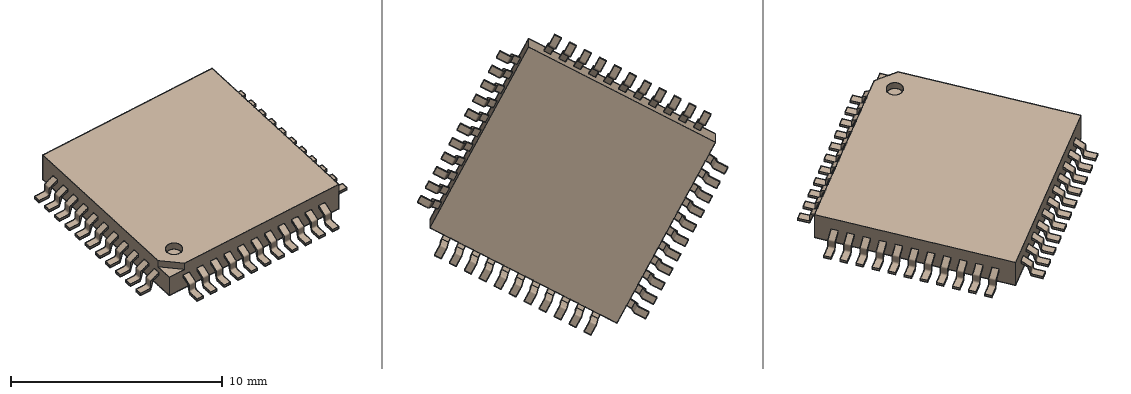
import cadquery as cq

body_side = 10.0
body_height = 1.6

overall_span = 12.2
leads_per_side = 11
row_length = 8.0
lead_width = 0.37
sides = 4

root_top = 0.88
root_bottom = 0.72
shin_reach = 5.5
outer_knee_height = 0.6
inner_knee_reach = 5.34
inner_knee_height = 0.56
foot_thickness = 0.15
bend_radius = 0.1

mark_depth = 0.4
corner_cut = 0.9
dimple_diameter = 0.8
dimple_inset = 1.1

body_edge = body_side / 2
lead_tip = overall_span / 2
pitch = row_length / (leads_per_side - 1)


def make_body():
    """Square block with a stepped corner and a round dimple marking pin 1."""
    block = cq.Workplane("XY").box(body_side, body_side, body_height, centered=(True, True, False))
    mark_floor = cq.Workplane("XY").workplane(offset=body_height - mark_depth)
    corner_outline = [
        (body_edge, -body_edge),
        (body_edge, -body_edge + corner_cut),
        (body_edge - corner_cut, -body_edge),
    ]
    corner = mark_floor.polyline(corner_outline).close().extrude(mark_depth)
    dimple_place = body_edge - dimple_inset
    dimple = (
        mark_floor.center(dimple_place, -dimple_place)
        .circle(dimple_diameter / 2)
        .extrude(mark_depth)
    )
    return block.cut(corner).cut(dimple)


def make_lead():
    """One lead on the +X side, centred on Y = 0, with its outer knee, instep and heel rounded."""
    outer_knee = (shin_reach, outer_knee_height)
    instep = (shin_reach, foot_thickness)
    heel = (shin_reach, 0)
    outline = [
        (body_edge, root_top),
        outer_knee,
        instep,
        (lead_tip, foot_thickness),
        (lead_tip, 0),
        heel,
        (inner_knee_reach, inner_knee_height),
        (body_edge, root_bottom),
    ]
    lead = cq.Workplane("XZ").polyline(outline).close().extrude(lead_width / 2, both=True)
    for reach, height in (outer_knee, instep, heel):
        bend_edge = cq.NearestToPointSelector((reach, 0, height))
        lead = lead.edges(bend_edge).fillet(bend_radius)
    return lead


def make_leads():
    """All leads: a row along the +X side, turned to each side of the body."""
    lead = make_lead().val()
    origin = cq.Vector(0, 0, 0)
    z_axis = cq.Vector(0, 0, 1)
    leads = []
    for side in range(sides):
        turn = side * 360 / sides
        for index in range(leads_per_side):
            place = index * pitch - row_length / 2
            placed = lead.translate(cq.Vector(0, place, 0))
            leads.append(placed.rotate(origin, z_axis, turn))
    return leads


package = make_body().val().fuse(*make_leads())
result = cq.Workplane("XY").newObject(package.Solids())